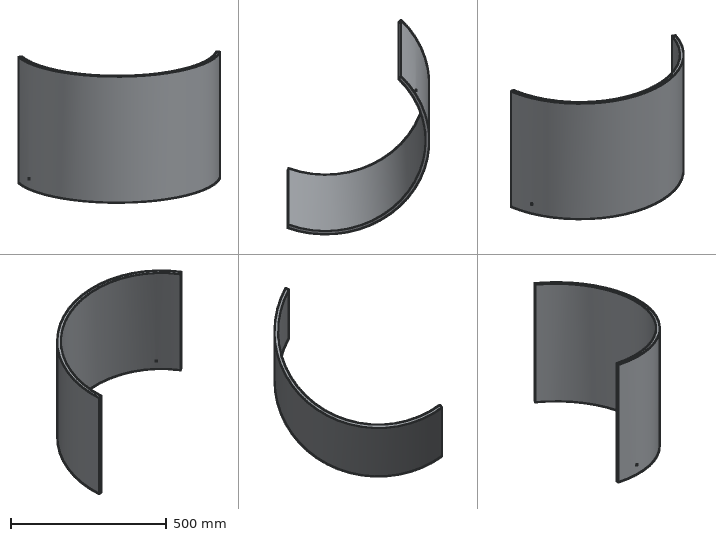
import cadquery as cq
import math

outer_radius = 334.0
thickness = 12.0
height = 422.0
width_y = 637.0
inner_radius = outer_radius - thickness

start_angle = -math.pi / 2
end_angle = math.asin((width_y - outer_radius) / outer_radius)
middle_angle = (start_angle + end_angle) / 2

hole_diameter = 5.0
hole_x = 81.0
hole_z = 35.0
hole_angle = -math.acos(hole_x / outer_radius)


def polar(radius, angle):
    """Point in the XY plane at a radius and angle about the shell axis."""
    return (radius * math.cos(angle), radius * math.sin(angle))


def make_shell():
    return (
        cq.Workplane("XY")
        .moveTo(*polar(outer_radius, start_angle))
        .threePointArc(polar(outer_radius, middle_angle), polar(outer_radius, end_angle))
        .lineTo(*polar(inner_radius, end_angle))
        .threePointArc(polar(inner_radius, middle_angle), polar(inner_radius, start_angle))
        .close()
        .extrude(height)
    )


def make_hole_cutter():
    """Radial pin that passes right through the wall."""
    clearance = thickness
    start = cq.Vector(*polar(inner_radius - clearance, hole_angle), hole_z)
    direction = cq.Vector(*polar(1, hole_angle), 0)
    length = thickness + 2 * clearance
    return cq.Solid.makeCylinder(hole_diameter / 2, length, start, direction)


result = make_shell().cut(cq.Workplane(make_hole_cutter()))